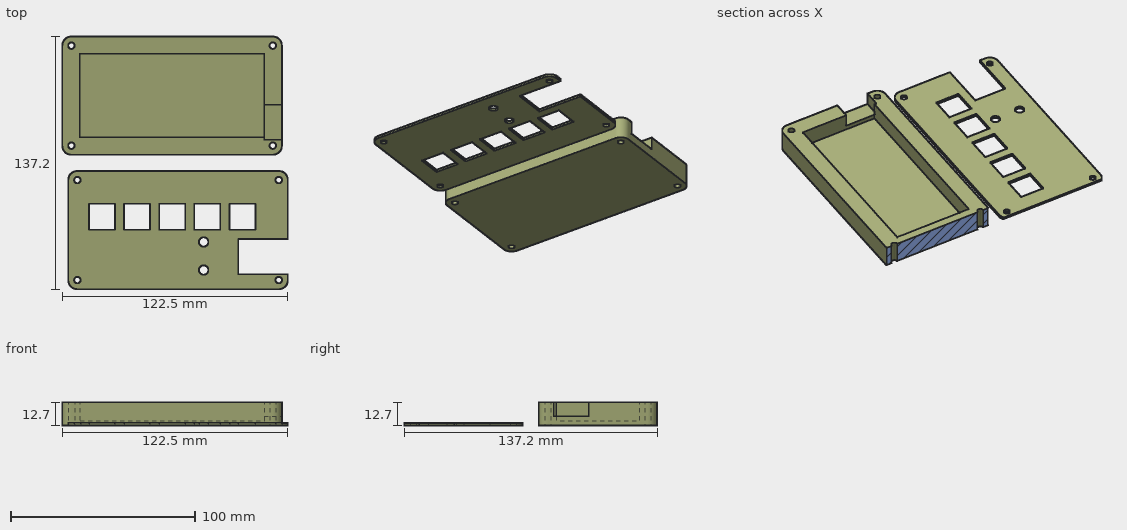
import cadquery as cq

width = 119.25
depth = 64.25
corner_radius = 5.0
screw_inset = 5.0
screw_diameter = 3.4

case_height = 12.72
case_wall = 9.525
floor_thickness = 2.5

opening_width = 19.0
opening_front_y = 8.25
opening_floor_z = 5.2
plate_opening_length = 26.95

plate_thickness = 1.5
overall_x = 122.48
overall_y = 137.19
plate_offset_x = overall_x - width
plate_offset_y = depth - overall_y

switch_count = 5
switch_size = 14.0
switch_pitch = 19.05
first_switch_x = 18.35
switch_row_y = 39.4

indicator_count = 2
indicator_diameter = 5.0
indicator_x = 73.5
indicator_pitch = 15.24
lower_indicator_y = 10.45


def block(x, y, z, size_x, size_y, size_z):
    """Box whose lowest corner is at (x, y, z)."""
    return cq.Workplane("XY").box(size_x, size_y, size_z, centered=False).translate((x, y, z))


def drilled_panel(thickness):
    """Rounded rectangle with its lower-left corner at the origin and a screw hole in each corner."""
    panel = block(0, 0, 0, width, depth, thickness).edges("|Z").fillet(corner_radius)
    screw_points = [
        (x, y)
        for x in (screw_inset, width - screw_inset)
        for y in (screw_inset, depth - screw_inset)
    ]
    screw_holes = cq.Workplane("XY").pushPoints(screw_points).circle(screw_diameter / 2).extrude(thickness)
    return panel.cut(screw_holes)


def make_case():
    """Tray with a centred pocket and a notch through its +X wall."""
    pocket = block(
        case_wall, case_wall, floor_thickness,
        width - 2 * case_wall, depth - 2 * case_wall, case_height - floor_thickness,
    )
    notch = block(
        width - case_wall, opening_front_y, opening_floor_z,
        case_wall, opening_width, case_height - opening_floor_z,
    )
    return drilled_panel(case_height).cut(pocket).cut(notch)


def make_plate():
    """Flat plate with switch cutouts, indicator holes and a slot open to +X."""
    plate = drilled_panel(plate_thickness)

    switch_points = [(first_switch_x + i * switch_pitch, switch_row_y) for i in range(switch_count)]
    switches = (
        cq.Workplane("XY").pushPoints(switch_points).rect(switch_size, switch_size).extrude(plate_thickness)
    )

    indicator_points = [
        (indicator_x, lower_indicator_y + i * indicator_pitch)
        for i in range(indicator_count)
    ]
    indicators = (
        cq.Workplane("XY").pushPoints(indicator_points).circle(indicator_diameter / 2).extrude(plate_thickness)
    )

    slot = block(
        width - plate_opening_length, opening_front_y, 0,
        plate_opening_length, opening_width, plate_thickness,
    )
    plate = plate.cut(switches).cut(indicators).cut(slot)
    return plate.translate((plate_offset_x, plate_offset_y, 0))


case = make_case()
plate = make_plate()

result = cq.Compound.makeCompound([case.val(), plate.val()])